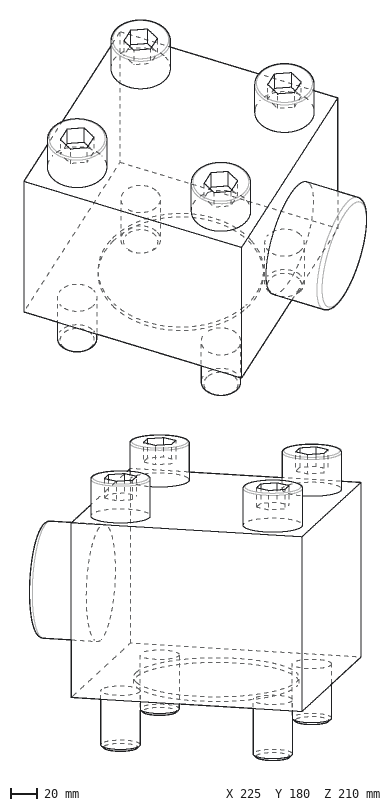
import cadquery as cq
import math

block_side = 180.0
block_height = 136.0

port_diameter = 88.9
port_length = 45.0
port_edge_radius = 3.0
port_axis_height = block_height / 2

spigot_diameter = 125.0
spigot_height = 3.5

screw_spacing = 118.8
shank_diameter = 30.0
shank_projection = 44.0
shank_chamfer = 2.0
head_diameter = 45.0
head_height = 30.0
head_edge_radius = 1.4
socket_across_flats = 22.0
socket_depth = 15.0


def make_block():
    return cq.Workplane("XY").box(block_side, block_side, block_height, centered=(True, True, False))


def make_port():
    return (
        cq.Workplane("YZ")
        .center(0, port_axis_height)
        .circle(port_diameter / 2)
        .extrude(block_side / 2 + port_length)
        .faces(">X")
        .edges()
        .fillet(port_edge_radius)
    )


def make_spigot():
    return cq.Workplane("XY").circle(spigot_diameter / 2).extrude(-spigot_height)


def make_screw():
    """Screw on the Z axis, with its head resting on top of the block."""
    shank = (
        cq.Workplane("XY")
        .workplane(offset=-shank_projection)
        .circle(shank_diameter / 2)
        .extrude(shank_projection + block_height)
        .faces("<Z")
        .chamfer(shank_chamfer)
    )
    head = (
        cq.Workplane("XY")
        .workplane(offset=block_height)
        .circle(head_diameter / 2)
        .extrude(head_height)
        .faces(">Z")
        .edges()
        .fillet(head_edge_radius)
    )
    across_corners = socket_across_flats / math.cos(math.pi / 6)
    socket = (
        cq.Workplane("XY")
        .workplane(offset=block_height + head_height - socket_depth)
        .transformed(rotate=(0, 0, 90))
        .polygon(6, across_corners)
        .extrude(socket_depth)
    )
    return shank.union(head).cut(socket)


result = make_block().union(make_port()).union(make_spigot())

screw = make_screw()
for x_side in (-1, 1):
    for y_side in (-1, 1):
        position = (x_side * screw_spacing / 2, y_side * screw_spacing / 2, 0)
        result = result.union(screw.translate(position))